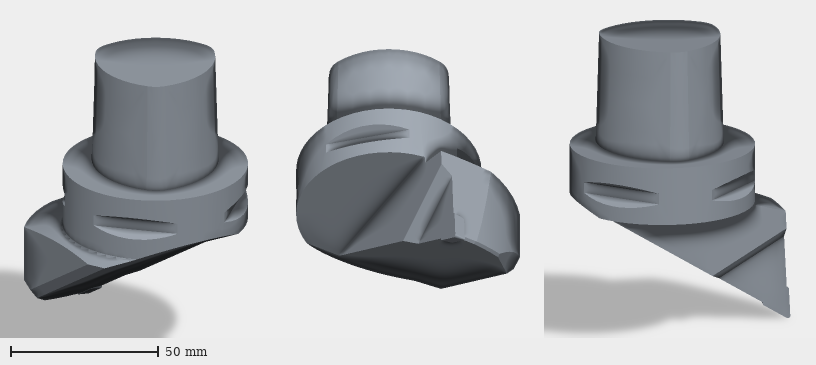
import cadquery as cq
import math


shank_height = 38.1
lobe_reach = 23.2
flank_reach = 20.6
lobe_radius = 9.6
shank_taper = 1.7

flange_radius = 63.0 / 2
flange_depth = 20.0
neck_depth = 22.0
neck_fillet_drop = 1.0
neck_fillet_reach = 0.8
slot_centre_z = -10.8
slot_floor_width = 3.7
slot_floor_distance = 27.9
slot_side_angle = 30.0

head_radius = 45.1
head_cone_angle = 15.0
head_front_y = -34.9
head_back_y = 4.0
head_corner_fillet = 0.4
side_lean = 3.0
side_top = (-42.3, -26.6)
slant_angle = 32.0
slant_start_z = -16.9
slant_chamfer = 3.1
tip_chamfer = 1.2
nose_facet_point = (-28.2, head_front_y, -46.3)
nose_facet_normal = (-26.5, -69.9, -50.0)
pocket_corner = (-42.6, head_back_y, -31.9)
pocket_edge_slope = 0.575

insert_edge = 11.5
insert_thickness = 4.0
insert_clearance = 7.0
insert_nose_radius = 0.8
tip_left_x = -45.0
tip_bottom_z = -64.9

space = 309.0
base_depth = 77.3


def cos_deg(angle):
    return math.cos(math.radians(angle))


def sin_deg(angle):
    return math.sin(math.radians(angle))


def tan_deg(angle):
    return math.tan(math.radians(angle))


def polar(radius, angle):
    return (radius * cos_deg(angle), radius * sin_deg(angle))


def space_beyond(point, normal):
    """Block that fills the side of a plane to which its normal points."""
    plane = cq.Plane(origin=point, normal=normal)
    return cq.Workplane(plane).rect(space, space).extrude(space)


def make_shank():
    """Three small lobe arcs joined tangentially by three large flank arcs."""
    lobe_centre = lobe_reach - lobe_radius
    reach_gap = flank_reach - lobe_centre / 2
    half_span = lobe_centre * cos_deg(30)
    flank_radius = (half_span**2 + reach_gap**2 - lobe_radius**2) / (2 * (reach_gap - lobe_radius))
    flank_half_angle = math.degrees(math.asin(half_span / (flank_radius - lobe_radius)))
    seam_offset = 60 - flank_half_angle

    def lobe_point(lobe_angle, offset):
        centre_x, centre_y = polar(lobe_centre, lobe_angle)
        step_x, step_y = polar(lobe_radius, lobe_angle + offset)
        return (centre_x + step_x, centre_y + step_y)

    lobe_angles = (90, 210, 330)
    outline = cq.Workplane("XY").moveTo(*lobe_point(lobe_angles[0], -seam_offset))
    for angle in lobe_angles:
        outline = outline.threePointArc(lobe_point(angle, 0), lobe_point(angle, seam_offset))
        next_seam = lobe_point(angle + 120, -seam_offset)
        outline = outline.threePointArc(polar(flank_reach, angle + 60), next_seam)
    return outline.close().extrude(shank_height, taper=shank_taper)


def make_blank():
    """Turned flange, filleted neck and conical shoulder of the head."""
    cone_start_radius = flange_radius + neck_fillet_reach
    cone_start_z = -neck_depth - neck_fillet_drop
    cone_end_z = cone_start_z - (head_radius - cone_start_radius) * tan_deg(head_cone_angle)
    return (
        cq.Workplane("XZ")
        .lineTo(flange_radius, 0)
        .lineTo(flange_radius, -neck_depth)
        .tangentArcPoint((cone_start_radius, cone_start_z), relative=False)
        .lineTo(head_radius, cone_end_z)
        .lineTo(head_radius, -base_depth)
        .lineTo(0, -base_depth)
        .close()
        .revolve(360, (0, 0, 0), (0, 1, 0))
    )


def make_gripper_slot(angle):
    """Straight slot with a flat floor and flaring sides, across the flange rim."""
    depth = 2 * (flange_radius - slot_floor_distance)
    flare = depth * tan_deg(slot_side_angle)
    half_floor = slot_floor_width / 2
    return (
        cq.Workplane("XZ")
        .polyline([
            (slot_floor_distance, slot_centre_z - half_floor),
            (slot_floor_distance + depth, slot_centre_z - half_floor - flare),
            (slot_floor_distance + depth, slot_centre_z + half_floor + flare),
            (slot_floor_distance, slot_centre_z + half_floor),
        ])
        .close()
        .extrude(flange_radius, both=True)
        .rotate((0, 0, 0), (0, 0, 1), angle)
    )


def make_back_clearance():
    """Space behind the head and under the flange, with one rounded edge."""
    return (
        cq.Workplane("XY", origin=(0, head_back_y, -flange_depth))
        .rect(space, space)
        .extrude(-space)
        .translate((0, space / 2, 0))
        .edges("<Y and >Z")
        .fillet(head_corner_fillet)
    )


def make_chip_pocket():
    """Recess down to the rake plane, ending in a sloped wall."""
    wall = space_beyond(pocket_corner, (-pocket_edge_slope, 1, -1))
    layer = cq.Workplane("XZ").rect(space, space).extrude(-head_back_y)
    return wall.intersect(layer)


def make_insert():
    """Rhombus with a rounded nose, tapering away from the rake face."""
    left_angle = 90 - side_lean
    bisector = (left_angle + slant_angle) / 2
    half_corner = (left_angle - slant_angle) / 2
    nose_setback = insert_nose_radius / sin_deg(half_corner)
    corner_x = tip_left_x + insert_nose_radius - nose_setback * cos_deg(bisector)
    corner_z = tip_bottom_z + insert_nose_radius - nose_setback * sin_deg(bisector)
    side_x, side_z = polar(insert_edge, left_angle)
    base_x, base_z = polar(insert_edge, slant_angle)
    outline = (
        cq.Sketch()
        .polygon([
            (corner_x, corner_z),
            (corner_x + base_x, corner_z + base_z),
            (corner_x + base_x + side_x, corner_z + base_z + side_z),
            (corner_x + side_x, corner_z + side_z),
            (corner_x, corner_z),
        ])
        .vertices()
        .fillet(insert_nose_radius)
    )
    return cq.Workplane("XZ").placeSketch(outline).extrude(insert_thickness, taper=insert_clearance)


def chamfer_tip(body):
    """Bevel where the left face and the round flank meet the slanted underside."""
    tip_region = cq.selectors.BoxSelector(
        (-head_radius - 1, head_front_y + 1, -base_depth),
        (nose_facet_point[0], head_back_y, nose_facet_point[2]),
    )
    return body.edges(tip_region).chamfer(tip_chamfer)


def make_holder(insert):
    slant_normal = (sin_deg(slant_angle), 0, -cos_deg(slant_angle))
    slant_start = (flange_radius, head_front_y, slant_start_z)
    chamfer_start = (flange_radius, head_front_y, slant_start_z + slant_chamfer / cos_deg(slant_angle))
    chamfer_normal = (slant_normal[0], -1, slant_normal[2])
    side_normal = (-cos_deg(side_lean), 0, sin_deg(side_lean))

    body = make_blank()
    body = body.cut(make_back_clearance())
    body = body.cut(space_beyond((0, head_front_y, 0), (0, -1, 0)))
    body = body.cut(space_beyond((side_top[0], 0, side_top[1]), side_normal))
    body = body.cut(space_beyond(slant_start, slant_normal))
    body = chamfer_tip(body)
    body = body.cut(space_beyond(chamfer_start, chamfer_normal))
    body = body.cut(space_beyond(nose_facet_point, nose_facet_normal))
    body = body.cut(make_chip_pocket())
    for angle in (45, 135, 225, 315):
        body = body.cut(make_gripper_slot(angle))
    return body.union(make_shank()).cut(insert)


insert = make_insert()
holder = make_holder(insert)
result = cq.Compound.makeCompound([holder.val(), insert.val()])